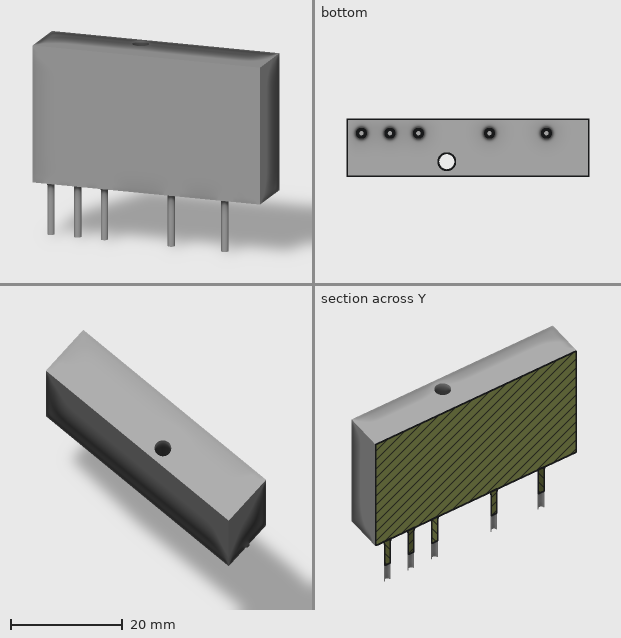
import cadquery as cq
import math

housing_length = 43.2
housing_width = 10.2
housing_height = 25.4

grid_pitch = 2.54
first_pin_x = 2.58
pin_row_y = 2.5
pin_grid_steps = [0, 2, 4, 9, 13]

hole_diameter = 3.0
hole_x = first_pin_x + 6 * grid_pitch
hole_y = pin_row_y + 2 * grid_pitch

pin_diameter = 1.3
pin_length = 10.0
flare_height = 0.9
flare_radius = 2.2

bore_diameter = 1.1
bore_depth = 4.0


def make_housing():
    block = cq.Workplane("XY").box(housing_length, housing_width, housing_height, centered=False)
    hole = (
        cq.Workplane("XY")
        .center(hole_x, hole_y)
        .circle(hole_diameter / 2)
        .extrude(housing_height)
    )
    return block.cut(hole)


def flare_offset(depth):
    """Growth of the pin radius at a depth below the housing, on an arc tangent to the shank."""
    rise = flare_height - depth
    return flare_radius - math.sqrt(flare_radius**2 - rise**2)


def make_pin(x):
    """Round pin with its flared root against the housing underside and a bored free end."""
    shank_radius = pin_diameter / 2
    middle_depth = flare_height / 2
    root_radius = shank_radius + flare_offset(0)
    middle_radius = shank_radius + flare_offset(middle_depth)
    profile = (
        cq.Workplane("XZ")
        .moveTo(0, 0)
        .lineTo(root_radius, 0)
        .threePointArc((middle_radius, -middle_depth), (shank_radius, -flare_height))
        .lineTo(shank_radius, -pin_length)
        .lineTo(0, -pin_length)
        .close()
    )
    pin = profile.revolve(360, (0, 0, 0), (0, 1, 0))
    bore = (
        cq.Workplane("XY")
        .workplane(offset=-pin_length)
        .circle(bore_diameter / 2)
        .extrude(bore_depth)
    )
    return pin.cut(bore).translate((x, pin_row_y, 0))


housing = make_housing()
pins = [make_pin(first_pin_x + step * grid_pitch) for step in pin_grid_steps]

result = cq.Compound.makeCompound([housing.val(), *[pin.val() for pin in pins]])